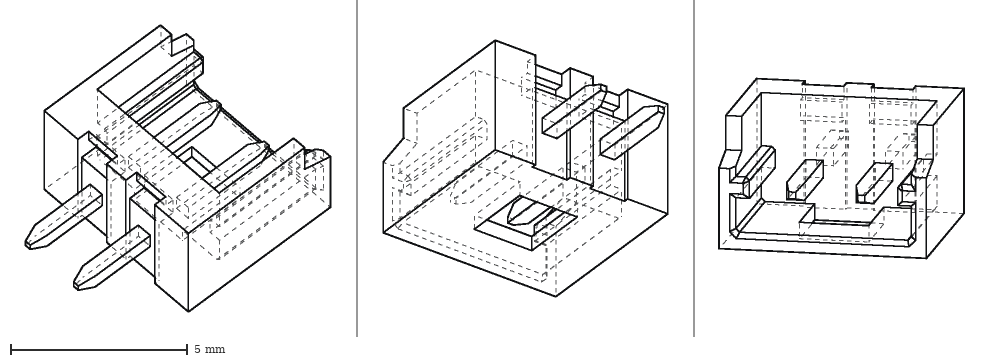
import cadquery as cq

width = 6.0
height = 3.65
pin_tail = 2.5
back = pin_tail
front = 8.0
half_width = width / 2

side_wall = 0.46
floor = 0.47
cavity_back = 4.12
cavity_half = half_width - side_wall
bevel = 0.1
mouth_chamfer = 0.15

rail_depth = 0.39
rail_bottom = 1.47
rail_top = 2.1
rail_half = cavity_half - rail_depth

step_length = 1.0
step_height = height - 1.0
ramp_end_height = 2.35

pitch = 2.0
window_width = pitch
window_front = 6.35

slot_width = 1.2
slot_depth = 0.15
notch_depth = 0.42
notch_bottom = 3.26
pocket_depth = 0.7
pocket_bottom = 2.67

pin_size = 0.5
pin_tip_size = 0.2
pin_tip_length = 0.5
pin_end = 7.39
pin_height = 1.5
pin_places = (-pitch / 2, pitch / 2)


def block(x_center, x_size, y_range, z_range):
    """Box centred on x_center that fills the given Y and Z ranges."""
    y_size = y_range[1] - y_range[0]
    z_size = z_range[1] - z_range[0]
    corner = (x_center - x_size / 2, y_range[0], z_range[0])
    return cq.Workplane("XY").box(x_size, y_size, z_size, centered=False).translate(corner)


def xz_plane(y):
    """Plane at the given Y that extrudes toward +Y; its local x runs along -X."""
    return cq.Workplane(cq.Plane(origin=(0, y, 0), xDir=(-1, 0, 0), normal=(0, 1, 0)))


def housing_block():
    """Side outline with the step and ramp, extruded across the width."""
    outline = [
        (back, 0),
        (front, 0),
        (front, ramp_end_height),
        (front - step_length, step_height),
        (front - step_length, height),
        (back, height),
    ]
    return cq.Workplane("YZ").polyline(outline).close().extrude(half_width, both=True)


def cavity():
    """Mirror-symmetric cavity section with rails, flared at the mouth."""
    open_top = height + mouth_chamfer
    right_side = [
        (cavity_half - bevel, floor),
        (cavity_half, floor + bevel),
        (cavity_half, rail_bottom),
        (rail_half, rail_bottom),
        (rail_half, rail_top - bevel),
        (rail_half + bevel, rail_top),
        (cavity_half, rail_top),
        (cavity_half, open_top),
    ]
    left_side = [(-x, z) for x, z in reversed(right_side)]
    section = right_side + left_side
    mouth_start = front - mouth_chamfer
    straight = xz_plane(cavity_back).polyline(section).close().extrude(mouth_start - cavity_back)
    inner_rim = xz_plane(mouth_start).polyline(section).close().val()
    outer_rim = inner_rim.offset2D(mouth_chamfer, "intersection")[0].translate((0, mouth_chamfer, 0))
    flare = cq.Workplane(cq.Solid.makeLoft([inner_rim, outer_rim], True))
    return straight.union(flare)


def back_slot(x):
    """Full-height slot, a deeper notch at the top and a pocket under the notch."""
    slot = block(x, slot_width, (back, back + slot_depth), (0, height))
    notch = block(x, slot_width, (back, back + notch_depth), (notch_bottom, height))
    pocket = block(x, slot_width, (back, back + pocket_depth), (pocket_bottom, notch_bottom))
    return slot.union(notch).union(pocket)


def pin_tip(y_base, y_end):
    """Tapered square tip from the pin's full size down to the tip size."""
    return (
        xz_plane(y_base).rect(pin_size, pin_size)
        .workplane(offset=y_end - y_base).rect(pin_tip_size, pin_tip_size)
        .loft(ruled=True)
    )


def pin(x):
    """Square pin along Y with a tapered tip at each end."""
    shaft_end = pin_end - pin_tip_length
    shaft = xz_plane(pin_tip_length).rect(pin_size, pin_size).extrude(shaft_end - pin_tip_length)
    whole = shaft.union(pin_tip(pin_tip_length, 0)).union(pin_tip(shaft_end, pin_end))
    return whole.translate((x, 0, pin_height))


result = housing_block().cut(cavity())
result = result.cut(block(0, window_width, (cavity_back, window_front), (0, floor)))
for place in pin_places:
    result = result.cut(back_slot(place)).union(pin(place))